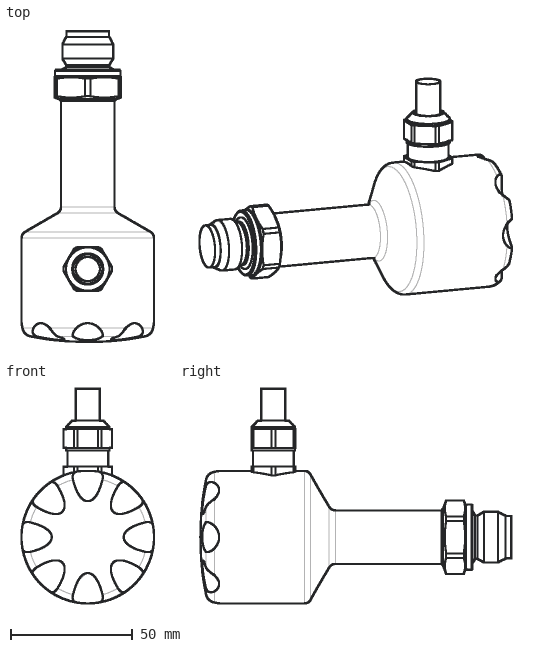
import cadquery as cq
import math

body_radius = 54.5 / 2
total_height = 88.1
dome_radius = 127.5
cap_edge_radius = 3.6
shoulder_angle = math.radians(60)
shoulder_blend = 2.9
shoulder_corner_y = 44.4

grip_count = 8
grip_radius = 7.6
grip_tilt = 29.0
grip_rim_y = 7.8
grip_length = 76.5

total_length = 127.5
pipe_radius = 22.0 / 2
pipe_flare_y = 99.0
nut_start_y = 99.6
nut_end_y = 108.6
nut_flats = 27.2
nut_corner_diameter = 30.2
nut_face_diameter = 23.5
nut_chamfer_angle = math.radians(20)
washer_radius = 26.9 / 2
washer_end_y = 111.7
washer_edge = 0.5
washer_gap_radius = 26.0 / 2
washer_start_y = 109.0
neck_radius = 17.8 / 2
neck_flare_radius = 21.3 / 2
neck_start_y = 112.7
neck_end_y = 113.6
ring_radius = 20.9 / 2
ring_start_y = 116.3
ring_end_y = 122.0
ring_tip_radius = 17.8 / 2
spigot_radius = 17.5 / 2
spigot_start_y = 125.1

gland_y = 30.0
gland_flats = 18.0
gland_corner_diameter = 19.9
base_hex_top = 29.0
gland_sleeve_radius = 16.8 / 2
collar_radius = 17.8 / 2
collar_bottom = 35.5
hex_bottom = 36.6
hex_top = 44.2
collar_top = 45.1
gland_tip_radius = 12.8 / 2
gland_tip_z = 47.8
gland_bore_radius = 12.0 / 2
gland_bore_depth = 0.4
cable_radius = 10.0 / 2
cable_top = total_height - body_radius


def along_gland(radius, bottom, top):
    """Round bar on the gland axis between two heights."""
    return cq.Workplane("XY", origin=(0, gland_y, bottom)).circle(radius).extrude(top - bottom)


def make_body():
    """Domed cap, cylinder, conical shoulder and pipe flaring into the nut, as one revolved profile."""
    cap_angle = math.asin((body_radius - cap_edge_radius) / (dome_radius - cap_edge_radius))
    rim_radius = dome_radius * math.sin(cap_angle)
    rim_y = dome_radius * (1 - math.cos(cap_angle))
    edge_centre_r = body_radius - cap_edge_radius
    edge_centre_y = rim_y + cap_edge_radius * math.cos(cap_angle)
    dome_mid = (dome_radius * math.sin(cap_angle / 2), dome_radius * (1 - math.cos(cap_angle / 2)))
    edge_mid_angle = (math.pi / 2 - cap_angle) / 2
    edge_mid = (
        edge_centre_r + cap_edge_radius * math.cos(edge_mid_angle),
        edge_centre_y - cap_edge_radius * math.sin(edge_mid_angle),
    )

    shoulder_length = (body_radius - pipe_radius) / math.tan(shoulder_angle)
    pipe_corner_y = shoulder_corner_y + shoulder_length
    tangent = shoulder_blend * math.tan(shoulder_angle / 2)
    tangent_r = tangent * math.sin(shoulder_angle)
    tangent_y = tangent * math.cos(shoulder_angle)

    profile = (
        cq.Workplane("XY")
        .moveTo(0, 0)
        .threePointArc(dome_mid, (rim_radius, rim_y))
        .threePointArc(edge_mid, (body_radius, edge_centre_y))
        .lineTo(body_radius, shoulder_corner_y - tangent)
        .radiusArc((body_radius - tangent_r, shoulder_corner_y + tangent_y), -shoulder_blend)
        .lineTo(pipe_radius + tangent_r, pipe_corner_y - tangent_y)
        .radiusArc((pipe_radius, pipe_corner_y + tangent), shoulder_blend)
        .lineTo(pipe_radius, pipe_flare_y)
        .lineTo(nut_face_diameter / 2, nut_start_y)
        .lineTo(0, nut_start_y)
        .close()
    )
    return profile.revolve(360, (0, 0, 0), (0, 1, 0))


def cut_grips(body):
    """Sloping round grooves, evenly spaced around the cap."""
    tilt = math.radians(grip_tilt)
    outward = cq.Vector(0, math.sin(tilt), math.cos(tilt))
    normal = cq.Vector(0, -math.cos(tilt), math.sin(tilt))
    rim_point = cq.Vector(0, grip_rim_y, body_radius)
    start = rim_point + normal * grip_radius - outward * (grip_length / 2)
    cutter = cq.Workplane(cq.Solid.makeCylinder(grip_radius, grip_length, start, outward))
    for index in range(grip_count):
        body = body.cut(cutter.rotate((0, 0, 0), (0, 1, 0), index * 360 / grip_count))
    return body


def make_nut():
    """Hexagon with a corner on +Z, rounded corners and chamfered ends."""
    hexagon = (
        cq.Workplane("XZ", origin=(0, nut_start_y, 0))
        .polygon(6, nut_flats, circumscribed=True)
        .extrude(nut_start_y - nut_end_y)
    )
    corner_radius = nut_corner_diameter / 2
    face_radius = nut_face_diameter / 2
    front_chamfer = (corner_radius - face_radius) * math.tan(nut_chamfer_angle)
    back_chamfer = (corner_radius - washer_radius) * math.tan(nut_chamfer_angle)
    envelope = (
        cq.Workplane("XY")
        .polyline(
            [
                (0, nut_start_y),
                (face_radius, nut_start_y),
                (corner_radius, nut_start_y + front_chamfer),
                (corner_radius, nut_end_y - back_chamfer),
                (washer_radius, nut_end_y),
                (0, nut_end_y),
            ]
        )
        .close()
        .revolve(360, (0, 0, 0), (0, 1, 0))
    )
    return hexagon.intersect(envelope)


def make_pipe_end():
    """Washer, waisted neck, double-cone sealing ring and spigot beyond the nut."""
    return (
        cq.Workplane("XY")
        .polyline(
            [
                (0, nut_end_y),
                (washer_gap_radius, nut_end_y),
                (washer_gap_radius, washer_start_y),
                (washer_radius, washer_start_y),
                (washer_radius, washer_end_y - washer_edge),
                (washer_radius - washer_edge, washer_end_y),
                (neck_flare_radius, washer_end_y),
                (neck_radius, neck_start_y),
                (neck_radius, neck_end_y),
                (ring_radius, ring_start_y),
                (ring_radius, ring_end_y),
                (ring_tip_radius, spigot_start_y),
                (spigot_radius, spigot_start_y),
                (spigot_radius, total_length),
                (0, total_length),
            ]
        )
        .close()
        .revolve(360, (0, 0, 0), (0, 1, 0))
    )


def gland_hexagon(bottom, top):
    """Hexagon with corners on +X and -X, its corners rounded."""
    hexagon = (
        cq.Workplane("XY", origin=(0, gland_y, bottom))
        .transformed(rotate=(0, 0, 30))
        .polygon(6, gland_flats, circumscribed=True)
        .extrude(top - bottom)
    )
    return hexagon.intersect(along_gland(gland_corner_diameter / 2, bottom, top))


def make_gland():
    """Base hexagon, sleeve, clamping nut with conical end, and cable."""
    cone = cq.Workplane(
        cq.Solid.makeCone(
            collar_radius,
            gland_tip_radius,
            gland_tip_z - collar_top,
            cq.Vector(0, gland_y, collar_top),
            cq.Vector(0, 0, 1),
        )
    )
    tip_recess = along_gland(gland_bore_radius, gland_tip_z - gland_bore_depth, gland_tip_z)
    return (
        gland_hexagon(0, base_hex_top)
        .union(along_gland(gland_sleeve_radius, 0, collar_bottom))
        .union(along_gland(collar_radius, collar_bottom, collar_top))
        .union(gland_hexagon(hex_bottom, hex_top))
        .union(cone.cut(tip_recess))
        .union(along_gland(cable_radius, 0, cable_top))
    )


result = cut_grips(make_body()).union(make_nut()).union(make_pipe_end()).union(make_gland())